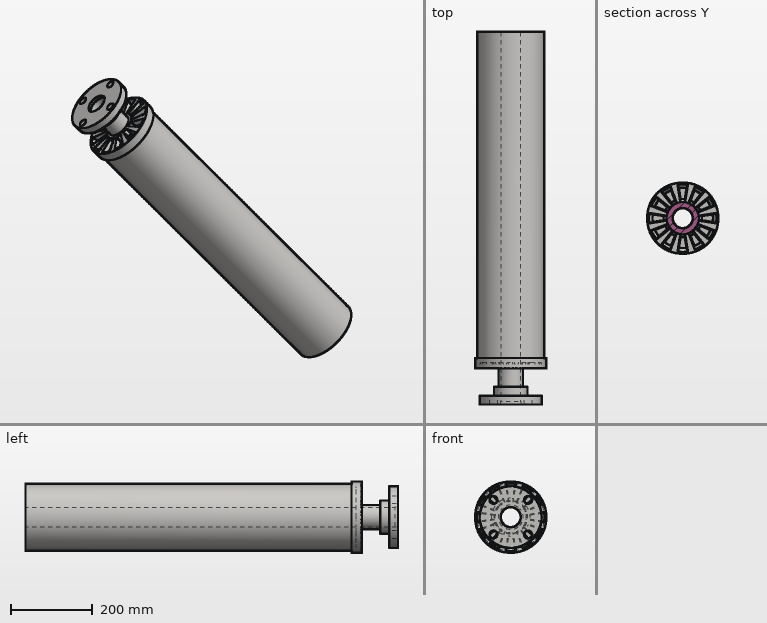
import cadquery as cq
import math

TOTAL_LENGTH = 914.4
FRONT_Y = -TOTAL_LENGTH / 2
BACK_Y = TOTAL_LENGTH / 2

FLANGE_DIAMETER = 152.4
FLANGE_THICKNESS = 22.6
HUB_DIAMETER = 82.4
HUB_LENGTH = 22.0
BACK_EDGE_CHAMFER = 1.5
BOLT_HOLE_DIAMETER = 18.92
BOLT_CIRCLE_DIAMETER = 120.0
BOLT_COUNT = 4
FIRST_BOLT_ANGLE = 45

PIPE_DIAMETER = 60.33
BORE_DIAMETER = 48.59
SOCKET_DIAMETER = 49.25
SOCKET_DEPTH = 8.0

CAP_DIAMETER = 175.41
CAP_THICKNESS = 25.4
CAP_FRONT_Y = FRONT_Y + 88.9
CAP_BACK_Y = CAP_FRONT_Y + CAP_THICKNESS

POCKET_COUNT = 12
POCKET_ANGLE = 18
POCKET_DEPTH = 14.0
POCKET_OUTER_RADIUS = 165.1 / 2
POCKET_INNER_RADIUS = 76.2 / 2
ROUND_WALL_LEAN = 32
SPOKE_WALL_LEAN = 10

BODY_DIAMETER = 165.1


def cylinder(diameter, start_y, end_y):
    """Round bar about the Y axis between two stations."""
    return cq.Workplane("XZ", origin=(0, start_y, 0)).circle(diameter / 2).extrude(start_y - end_y)


def make_flange():
    """Flange disc and hub with chamfered back edges, and four bolt holes."""
    flange_back_y = FRONT_Y + FLANGE_THICKNESS
    disc = cylinder(FLANGE_DIAMETER, FRONT_Y, flange_back_y)
    hub = cylinder(HUB_DIAMETER, FRONT_Y, flange_back_y + HUB_LENGTH)
    disc = disc.edges(">Y").chamfer(BACK_EDGE_CHAMFER)
    hub = hub.edges(">Y").chamfer(BACK_EDGE_CHAMFER)
    bolt_holes = (
        cq.Workplane("XZ", origin=(0, FRONT_Y, 0))
        .polarArray(BOLT_CIRCLE_DIAMETER / 2, FIRST_BOLT_ANGLE, 360, BOLT_COUNT)
        .circle(BOLT_HOLE_DIAMETER / 2)
        .extrude(-FLANGE_THICKNESS)
    )
    return disc.union(hub).cut(bolt_holes)


def make_pocket():
    """Space between two spokes, centred on +X, with all its walls leaning inwards."""
    reach = CAP_DIAMETER
    half_width = reach * math.tan(math.radians(POCKET_ANGLE / 2))
    wedge = (
        cq.Workplane("XZ", origin=(0, CAP_FRONT_Y, 0))
        .polyline([(0, 0), (reach, -half_width), (reach, half_width)])
        .close()
        .extrude(-POCKET_DEPTH, taper=SPOKE_WALL_LEAN)
    )
    floor_y = CAP_FRONT_Y + POCKET_DEPTH
    floor_inset = POCKET_DEPTH * math.tan(math.radians(ROUND_WALL_LEAN))
    ring = (
        cq.Workplane("XY")
        .polyline([
            (POCKET_INNER_RADIUS, CAP_FRONT_Y),
            (POCKET_OUTER_RADIUS, CAP_FRONT_Y),
            (POCKET_OUTER_RADIUS - floor_inset, floor_y),
            (POCKET_INNER_RADIUS + floor_inset, floor_y),
        ])
        .close()
        .revolve(360, (0, 0, 0), (0, 1, 0))
    )
    return ring.intersect(wedge)


def make_cap():
    """Cap disc with the pockets cut into its front face."""
    cap = cylinder(CAP_DIAMETER, CAP_FRONT_Y, CAP_BACK_Y)
    pocket = make_pocket()
    for i in range(POCKET_COUNT):
        cap = cap.cut(pocket.rotate((0, 0, 0), (0, 1, 0), i * 360 / POCKET_COUNT))
    return cap


body = cylinder(BODY_DIAMETER, CAP_BACK_Y, BACK_Y)
pipe = cylinder(PIPE_DIAMETER, FRONT_Y, CAP_BACK_Y)
bore = cylinder(BORE_DIAMETER, FRONT_Y, BACK_Y)
socket = cylinder(SOCKET_DIAMETER, FRONT_Y, FRONT_Y + SOCKET_DEPTH)

result = make_flange().union(pipe).union(make_cap()).union(body).cut(bore).cut(socket)